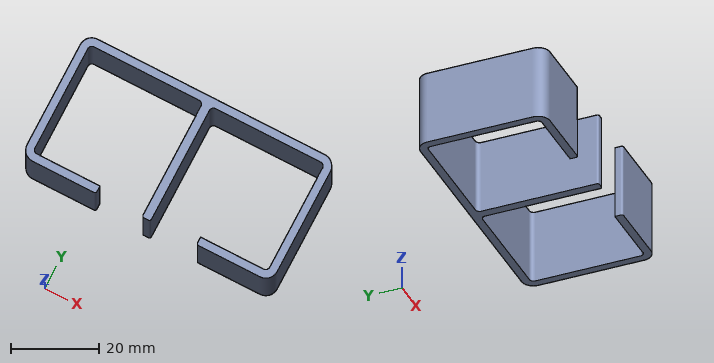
import cadquery as cq

length = 64.0
depth = 32.0
height = 18.75

wall = 2.0
divider = 2.2
lip_length = 19.15

outer_radius = 2.95
inner_radius = 1.0
tip_radius = 0.5

half_length = length / 2
half_depth = depth / 2
bay_width = half_length - wall - divider / 2
bay_depth = depth - 2 * wall
bay_center = (half_length - wall + divider / 2) / 2
opening_outer = half_length - lip_length
opening_width = opening_outer - divider / 2
opening_center = (opening_outer + divider / 2) / 2


def rounded_block(width, block_depth, radius):
    """Block of full height, centred on the origin, with rounded vertical edges."""
    return cq.Workplane("XY").box(width, block_depth, height).edges("|Z").fillet(radius)


def bay_cutter(side):
    """One bay with its front opening; side is -1 for left and +1 for right."""
    bay = rounded_block(bay_width, bay_depth, inner_radius).translate((side * bay_center, 0, 0))
    opening = (
        cq.Workplane("XY")
        .box(opening_width, half_depth, height)
        .translate((side * opening_center, -half_depth / 2, 0))
    )
    return bay.union(opening)


def round_front_edge(body, x):
    """Round the vertical edge on the front face at the given X position."""
    edge = body.edges(cq.selectors.NearestToPointSelector((x, -half_depth, 0)))
    return edge.fillet(tip_radius)


result = rounded_block(length, depth, outer_radius)
for side in (-1, 1):
    result = result.cut(bay_cutter(side))

for side in (-1, 1):
    for tip_offset in (divider / 2, opening_outer):
        result = round_front_edge(result, side * tip_offset)